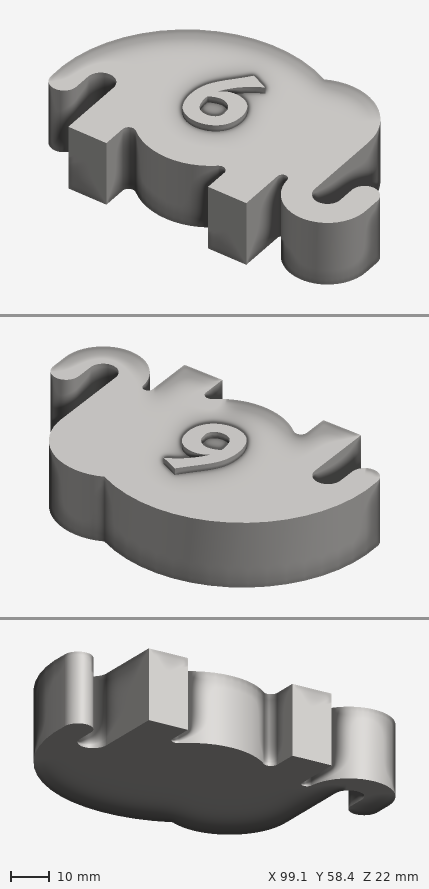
import cadquery as cq
import math

LENGTH = 99.05
THICKNESS = 20.0
DIGIT_HEIGHT = 2.0

LIMB_WIDTH = 8.0
LIMB_RADIUS = LIMB_WIDTH / 2
TRUNK_RADIUS = 1.5 * LIMB_WIDTH
LOW_BEND_Y = 15.1
HIGH_BEND_Y = 20.2

BACK_RADIUS = 40.5
BACK_CENTRE = (BACK_RADIUS, 17.9)
FACE_X = LENGTH - 2 * LIMB_WIDTH
HEAD_RADIUS = 17.0
HEAD_CENTRE = (FACE_X - HEAD_RADIUS, 39.0)

HIND_LEG_BACK_X = 2 * LIMB_WIDTH
HIND_LEG_FRONT_X = 28.0
FORE_LEG_BACK_X = 60.0
BELLY_RADIUS = 20.0
BELLY_BOTTOM_Y = 4.0
BELLY_CENTRE = ((HIND_LEG_FRONT_X + FORE_LEG_BACK_X) / 2, BELLY_BOTTOM_Y + BELLY_RADIUS)
BELLY_NOTCH_RADIUS = 1.9

TRUNK_CENTRE = (FACE_X + LIMB_RADIUS, LOW_BEND_Y)
TRUNK_NOTCH_RADIUS = 1.5
TRUNK_NOTCH_DROP = 1.1

EYE_CENTRE = (77.9, 34.1)
EYE_RADIUS = 2.6
EYE_BITE_RADIUS = 1.4
EYE_BITE_OFFSET = 1.3
EYE_DEPTH = 2.0

DIGIT_TIP_LEFT = (44.2, 43.0)
DIGIT_TIP_RIGHT = (49.4, 40.6)
DIGIT_STEM_MIDDLE = (44.8, 37.5)
DIGIT_CROTCH = (40.3, 32.1)
DIGIT_BOWL = [
    (45.5, 34.0), (49.6, 32.2), (51.5, 27.2), (49.6, 21.5), (42.9, 18.6),
    (37.5, 20.7), (35.3, 27.2), (36.4, 32.9), (38.7, 36.5), DIGIT_TIP_LEFT,
]
COUNTER_CORNER = (39.4, 29.0)
COUNTER_RIGHT = (46.95, 26.3)
COUNTER_TOP_CURVE = [(41.5, 29.9), (43.6, 30.1), (46.2, 28.6), COUNTER_RIGHT]
COUNTER_BOTTOM_CURVE = [(46.3, 23.6), (43.6, 22.6), (40.8, 23.6), (39.7, 25.7), COUNTER_CORNER]


def point_toward(start, target, distance):
    """Point at a distance from start on the line to target."""
    span = math.dist(start, target)
    return tuple(a + (b - a) * distance / span for a, b in zip(start, target))


def on_circle(centre, radius, degrees):
    angle = math.radians(degrees)
    return (centre[0] + radius * math.cos(angle), centre[1] + radius * math.sin(angle))


def bearing(centre, point):
    """Direction from centre to point, in degrees."""
    return math.degrees(math.atan2(point[1] - centre[1], point[0] - centre[0]))


def arc_between(outline, centre, radius, start, end):
    """Add an arc about centre that runs between two bearings, given in degrees."""
    middle = on_circle(centre, radius, (start + end) / 2)
    return outline.threePointArc(middle, on_circle(centre, radius, end))


def nape_point():
    """Upper crossing of the back and head circles."""
    span = math.dist(BACK_CENTRE, HEAD_CENTRE)
    cosine = (BACK_RADIUS**2 + span**2 - HEAD_RADIUS**2) / (2 * BACK_RADIUS * span)
    direction = bearing(BACK_CENTRE, HEAD_CENTRE) + math.degrees(math.acos(cosine))
    return on_circle(BACK_CENTRE, BACK_RADIUS, direction)


def elephant_blank():
    nape = nape_point()
    tail_x = BACK_CENTRE[0] - math.sqrt(BACK_RADIUS**2 - (BACK_CENTRE[1] - LOW_BEND_Y) ** 2)
    tail_radius = (LIMB_WIDTH - tail_x) / 2
    tip_x = LENGTH - LIMB_WIDTH

    belly_reach = BELLY_RADIUS + BELLY_NOTCH_RADIUS
    notch_side = BELLY_CENTRE[0] - HIND_LEG_FRONT_X - BELLY_NOTCH_RADIUS
    notch_y = BELLY_CENTRE[1] - math.sqrt(belly_reach**2 - notch_side**2)
    hind_notch = (BELLY_CENTRE[0] - notch_side, notch_y)
    fore_notch = (BELLY_CENTRE[0] + notch_side, notch_y)
    hind_contact = point_toward(hind_notch, BELLY_CENTRE, BELLY_NOTCH_RADIUS)
    fore_contact = point_toward(fore_notch, BELLY_CENTRE, BELLY_NOTCH_RADIUS)

    trunk_reach = TRUNK_RADIUS + TRUNK_NOTCH_RADIUS
    trunk_notch = (
        TRUNK_CENTRE[0] - math.sqrt(trunk_reach**2 - TRUNK_NOTCH_DROP**2),
        TRUNK_CENTRE[1] - TRUNK_NOTCH_DROP,
    )
    trunk_contact = point_toward(trunk_notch, TRUNK_CENTRE, TRUNK_NOTCH_RADIUS)
    fore_leg_front_x = trunk_notch[0] - TRUNK_NOTCH_RADIUS

    outline = cq.Workplane("XY").moveTo(tail_x, LOW_BEND_Y)
    tail_bearing = bearing(BACK_CENTRE, (tail_x, LOW_BEND_Y)) % 360
    outline = arc_between(outline, BACK_CENTRE, BACK_RADIUS, tail_bearing, bearing(BACK_CENTRE, nape))
    outline = arc_between(outline, HEAD_CENTRE, HEAD_RADIUS, bearing(HEAD_CENTRE, nape), 0)

    outline = outline.lineTo(FACE_X, LOW_BEND_Y)
    outline = arc_between(outline, TRUNK_CENTRE, LIMB_RADIUS, 180, 360)
    outline = outline.lineTo(tip_x, HIGH_BEND_Y)
    outline = arc_between(outline, (tip_x + LIMB_RADIUS, HIGH_BEND_Y), LIMB_RADIUS, 180, 0)
    outline = outline.lineTo(LENGTH, LOW_BEND_Y)
    contact_bearing = bearing(TRUNK_CENTRE, trunk_contact)
    outline = arc_between(outline, TRUNK_CENTRE, TRUNK_RADIUS, 0, contact_bearing)

    start = bearing(trunk_notch, trunk_contact)
    outline = arc_between(outline, trunk_notch, TRUNK_NOTCH_RADIUS, start, 180)
    outline = outline.lineTo(fore_leg_front_x, 0).lineTo(FORE_LEG_BACK_X, 0)
    outline = outline.lineTo(FORE_LEG_BACK_X, notch_y)

    end = bearing(fore_notch, fore_contact)
    outline = arc_between(outline, fore_notch, BELLY_NOTCH_RADIUS, 0, end)
    outline = outline.threePointArc((BELLY_CENTRE[0], BELLY_BOTTOM_Y), hind_contact)
    start = bearing(hind_notch, hind_contact)
    outline = arc_between(outline, hind_notch, BELLY_NOTCH_RADIUS, start, 180)

    outline = outline.lineTo(HIND_LEG_FRONT_X, 0).lineTo(HIND_LEG_BACK_X, 0)
    outline = outline.lineTo(HIND_LEG_BACK_X, HIGH_BEND_Y)
    gap_centre = (LIMB_WIDTH + LIMB_RADIUS, HIGH_BEND_Y)
    outline = arc_between(outline, gap_centre, LIMB_RADIUS, 0, 180)
    outline = outline.lineTo(LIMB_WIDTH, LOW_BEND_Y)
    outline = arc_between(outline, (LIMB_WIDTH - tail_radius, LOW_BEND_Y), tail_radius, 0, -180)
    return outline.close().extrude(THICKNESS)


def make_eye():
    floor = cq.Workplane("XY", origin=(*EYE_CENTRE, THICKNESS - EYE_DEPTH))
    disc = floor.circle(EYE_RADIUS).extrude(EYE_DEPTH)
    bite = floor.center(EYE_BITE_OFFSET, 0).circle(EYE_BITE_RADIUS).extrude(EYE_DEPTH)
    return disc.cut(bite)


def make_digit():
    """Raised figure six standing on the top face."""
    top = cq.Workplane("XY").workplane(offset=THICKNESS)
    outer = (
        top.moveTo(*DIGIT_TIP_LEFT)
        .lineTo(*DIGIT_TIP_RIGHT)
        .threePointArc(DIGIT_STEM_MIDDLE, DIGIT_CROTCH)
        .spline(DIGIT_BOWL, includeCurrent=True)
        .close()
        .extrude(DIGIT_HEIGHT)
    )
    counter = (
        top.moveTo(*COUNTER_CORNER)
        .spline(COUNTER_TOP_CURVE, includeCurrent=True)
        .spline(COUNTER_BOTTOM_CURVE, includeCurrent=True)
        .close()
        .extrude(DIGIT_HEIGHT)
    )
    return outer.cut(counter)


eye = make_eye()
digit = make_digit()
elephant = elephant_blank().cut(eye)

result = cq.Compound.makeCompound([elephant.val(), eye.val(), digit.val()])